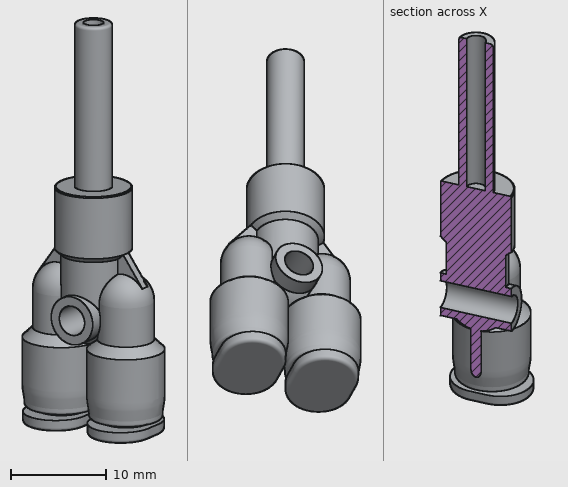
import cadquery as cq
import math

total_height = 44.3
tube_radius = 2.0
tube_bore_radius = 1.05
tube_tip_fillet = 0.3

collar_diameter = 8.2
collar_radius = collar_diameter / 2
collar_top = 26.35
collar_bottom = 19.6
collar_edge_chamfer = 0.15
column_radius = 3.45
collar_taper_height = 0.58

leg_spacing = 8.15
socket_radius = 4.1
socket_top = 9.15
shoulder_top = 10.25
dome_radius = 3.0
dome_center_height = 14.5

barrel_top = 4.4
barrel_bottom = 2.35
barrel_end_radius = 3.9
socket_bottom = 1.7
socket_end_round = 0.3

neck_radius = 2.53
ring_width = 7.0
ring_length = 9.0
ring_thickness = 1.25
ring_bottom_fillet = 0.4

boss_height = 12.6
boss_radius = 2.6
boss_length = collar_diameter
mounting_hole_radius = 1.6

rib_thickness = 1.0


def make_column():
    """Collar, tapered step and column ending in a half ball, as one turned shape."""
    profile = (
        cq.Workplane("XZ")
        .moveTo(0, collar_top)
        .lineTo(collar_radius - collar_edge_chamfer, collar_top)
        .lineTo(collar_radius, collar_top - collar_edge_chamfer)
        .lineTo(collar_radius, collar_bottom)
        .lineTo(column_radius, collar_bottom - collar_taper_height)
        .lineTo(column_radius, boss_height)
        .radiusArc((0, boss_height - column_radius), column_radius)
        .close()
    )
    return profile.revolve(360, (0, 0, 0), (0, 1, 0))


def make_tube():
    """Stem tube standing on the collar, rounded at the tip."""
    tube_length = total_height - collar_top
    tube = cq.Workplane("XY").workplane(offset=collar_top).circle(tube_radius).extrude(tube_length)
    return tube.faces(">Z").edges().fillet(tube_tip_fillet)


def make_leg():
    """Domed leg with its socket, turned about its own axis."""
    barrel_drop = barrel_top - barrel_bottom
    barrel_inset = socket_radius - barrel_end_radius
    barrel_arc_radius = (barrel_drop**2 + barrel_inset**2) / (2 * barrel_inset)
    end_radius = barrel_end_radius - socket_end_round
    profile = (
        cq.Workplane("XZ")
        .moveTo(0, dome_center_height + dome_radius)
        .radiusArc((dome_radius, dome_center_height), dome_radius)
        .lineTo(dome_radius, shoulder_top)
        .lineTo(socket_radius, socket_top)
        .lineTo(socket_radius, barrel_top)
        .radiusArc((barrel_end_radius, barrel_bottom), barrel_arc_radius)
        .lineTo(barrel_end_radius, socket_bottom + socket_end_round)
        .radiusArc((end_radius, socket_bottom), socket_end_round)
        .lineTo(neck_radius, socket_bottom)
        .lineTo(neck_radius, ring_thickness)
        .lineTo(0, ring_thickness)
        .close()
    )
    return profile.revolve(360, (0, 0, 0), (0, 1, 0))


def make_release_ring():
    """Oblong plate, longer along Y, with a rounded lower edge."""
    plate = cq.Workplane("XY").slot2D(ring_length, ring_width, 90).extrude(ring_thickness)
    return plate.faces("<Z").edges().fillet(ring_bottom_fillet)


def make_rib():
    """Web from the collar's lower edge, running tangent onto the dome of a leg at +X."""
    leg_x = leg_spacing / 2
    tangent_angle = math.acos(dome_radius / (collar_bottom - dome_center_height))
    touch_x = leg_x + dome_radius * math.sin(tangent_angle)
    touch_height = dome_center_height + dome_radius * math.cos(tangent_angle)
    outline = [
        (0, collar_bottom),
        (collar_radius, collar_bottom),
        (touch_x, touch_height),
        (leg_x, dome_center_height),
        (0, dome_center_height),
    ]
    return cq.Workplane("XZ").polyline(outline).close().extrude(rib_thickness / 2, both=True)


boss = (
    cq.Workplane("XZ")
    .center(0, boss_height)
    .circle(boss_radius)
    .extrude(boss_length / 2, both=True)
)
mounting_hole = (
    cq.Workplane("XZ")
    .center(0, boss_height)
    .circle(mounting_hole_radius)
    .extrude(boss_length, both=True)
)
tube_bore = cq.Workplane("XY").workplane(offset=collar_top).circle(tube_bore_radius).extrude(total_height)

side = make_leg().union(make_release_ring()).translate((leg_spacing / 2, 0, 0)).union(make_rib())

result = make_column().union(make_tube()).union(side).union(side.mirror("YZ")).union(boss)
result = result.cut(mounting_hole).cut(tube_bore)